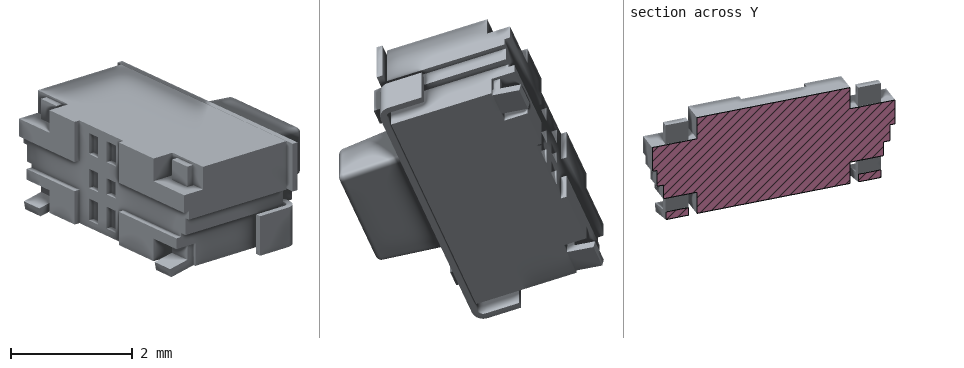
import cadquery as cq
import math


overall_width = 4.55
sheet = 0.1
mid_z = 0.905
waist_width = 4.115
waist_top = 0.96

housing_width = 4.285
housing_depth = 2.165
housing_height = 1.82
base_width = 3.885
base_top = 0.66
front_step = 0.1
channel_left = -0.695
channel_right = 0.45
channel_bottom = 0.59
channel_top = 1.105

notch_inner_x = 1.35
notch_depth = 0.4
upper_notch_floor = 1.42
lower_notch_roof = 0.4

pocket_depth = 0.1
left_pocket_x = -0.45
pocket_width = 0.23
right_pocket_x = 0.01
wide_pocket_width = 0.245
pockets = [
    (left_pocket_x, 1.305, pocket_width, 0.37),
    (right_pocket_x, 1.305, wide_pocket_width, 0.37),
    (left_pocket_x, 0.7, pocket_width, 0.34),
    (right_pocket_x, 0.733, pocket_width, 0.285),
    (left_pocket_x, 0.127, pocket_width, 0.385),
    (right_pocket_x, 0.127, pocket_width, 0.385),
]

lead_x = 1.695
lead_width = 0.4
lead_top = 1.78
lead_front = 0.27
lead_gap = 0.015
foot_thickness = 0.15
foot_drop = 0.09
foot_angle = 11.0

plate_gap = 0.027
plate_rear = housing_depth + plate_gap
plate_front = plate_rear + sheet
plate_top = 1.805
plate_neck_width = base_width
clip_top = 0.7
clip_end_y = 1.5
bend_inner_radius = 0.1
bend_outer_radius = bend_inner_radius + sheet

draft = 3.7
button_width = 1.995
button_height = 0.99
button_length = 1.21
button_round = 0.1
peg_x = 1.745
peg_width = 0.305
peg_height = 0.59
peg_length = 0.2


def block(x0, x1, y0, y1, z0, z1):
    """Box given by its limits along each axis."""
    return cq.Workplane("XY").box(x1 - x0, y1 - y0, z1 - z0, centered=False).translate((x0, y0, z0))


def centred_block(width, y0, y1, z0, z1):
    """Box centred on X = 0."""
    return block(-width / 2, width / 2, y0, y1, z0, z1)


def tapered_boss(x, width, height, length):
    """Rectangular boss with drafted sides, standing on the plate toward +Y."""
    base = cq.Workplane("XZ", origin=(x, plate_front, mid_z)).rect(width, height)
    return base.extrude(-length, taper=draft)


def make_lead(x):
    """L-shaped contact: an upright leg and a foot that slopes down toward -Y."""
    slope = math.radians(foot_angle)
    heel_y = notch_depth
    lower_tip = (heel_y - foot_drop / math.tan(slope), -foot_drop)
    upper_tip = (
        lower_tip[0] - foot_thickness * math.sin(slope),
        lower_tip[1] + foot_thickness * math.cos(slope),
    )
    leg_back = notch_depth - lead_gap

    def foot_upper_z(y):
        return upper_tip[1] + (y - upper_tip[0]) * math.tan(slope)

    profile = [
        (heel_y, 0),
        lower_tip,
        upper_tip,
        (lead_front, foot_upper_z(lead_front)),
        (lead_front, lead_top),
        (leg_back, lead_top),
        (leg_back, foot_upper_z(leg_back)),
        (heel_y, foot_upper_z(heel_y)),
    ]
    outline = cq.Workplane("YZ", origin=(x - lead_width / 2, 0, 0)).polyline(profile).close()
    return outline.extrude(lead_width)


def make_housing():
    body = centred_block(base_width, 0, housing_depth, 0, base_top)
    body = body.union(centred_block(waist_width, 0, housing_depth, base_top, waist_top))
    body = body.union(centred_block(housing_width, 0, housing_depth, waist_top, housing_height))

    body = body.cut(centred_block(housing_width, 0, front_step, channel_bottom, channel_top))
    body = body.cut(block(channel_left, channel_right, 0, front_step, 0, housing_height))

    for x, z, width, height in pockets:
        body = body.cut(block(x, x + width, front_step, front_step + pocket_depth, z, z + height))

    for side in (-1, 1):
        near, far = sorted((side * notch_inner_x, side * housing_width / 2))
        body = body.cut(block(near, far, 0, notch_depth, upper_notch_floor, housing_height))
        body = body.cut(block(near, far, 0, notch_depth, 0, lower_notch_roof))
        body = body.union(make_lead(side * lead_x))
    return body


def make_left_clip():
    """Clip that leaves the plate through a quarter bend and runs toward -Y."""
    outer_x = -overall_width / 2
    bend_x = outer_x + bend_outer_radius
    bend_y = plate_front - bend_outer_radius
    diagonal = math.sqrt(0.5)
    outer_mid = (bend_x - bend_outer_radius * diagonal, bend_y + bend_outer_radius * diagonal)
    inner_mid = (bend_x - bend_inner_radius * diagonal, bend_y + bend_inner_radius * diagonal)
    outline = (
        cq.Workplane("XY")
        .moveTo(-plate_neck_width / 2, plate_front)
        .lineTo(bend_x, plate_front)
        .threePointArc(outer_mid, (outer_x, bend_y))
        .lineTo(outer_x, clip_end_y)
        .lineTo(outer_x + sheet, clip_end_y)
        .lineTo(outer_x + sheet, bend_y)
        .threePointArc(inner_mid, (bend_x, plate_rear))
        .lineTo(-plate_neck_width / 2, plate_rear)
        .close()
    )
    return outline.extrude(clip_top)


def make_button():
    button = tapered_boss(0, button_width, button_height, button_length)
    return button.edges("not <Y").fillet(button_round)


def make_cover():
    cover = centred_block(plate_neck_width, plate_rear, plate_front, 0, waist_top)
    cover = cover.union(centred_block(overall_width, plate_rear, plate_front, waist_top, plate_top))
    left_clip = make_left_clip()
    cover = cover.union(left_clip).union(left_clip.mirror("YZ"))
    for side in (-1, 1):
        cover = cover.union(tapered_boss(side * peg_x, peg_width, peg_height, peg_length))
    return cover.union(make_button())


housing = make_housing()
cover = make_cover()

result = cq.Compound.makeCompound([housing.val(), cover.val()])